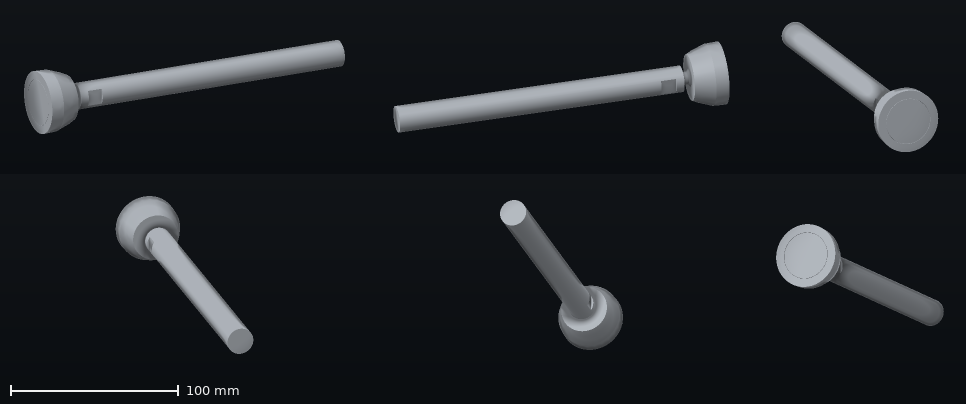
import cadquery as cq
import math

LENGTH = 200.0

FOOT_DIAMETER = 38.0
FOOT_SHOULDER_DIAMETER = 37.5
FOOT_TOP_DIAMETER = 28.0
FOOT_HEIGHT = 20.0
FOOT_SHOULDER_HEIGHT = 8.0
FOOT_LOWER_BULGE = 0.08
FOOT_UPPER_BULGE = 0.5
FOOT_RECESS_DIAMETER = 28.0

ROD_DIAMETER = 16.0
ROD_START = 24.8
NECK_DIAMETER = 7.8
STEM_DIAMETER = 10.8
FLARE_HEIGHT = 1.2
HEAD_DIAMETER = 27.5
HEAD_THICKNESS = 4.0

FLATS_START = 29.8
FLATS_LENGTH = 9.2
ACROSS_FLATS = 13.0


def revolve_about_y(profile):
    """Turn a closed half profile in the XY plane into a full solid."""
    return profile.close().revolve(360, (0, 0, 0), (0, 1, 0))


def bulged_midpoint(start, end, bulge):
    """Point at the middle of a chord, moved outward by the arc's bulge."""
    dx = end[0] - start[0]
    dy = end[1] - start[1]
    chord = math.hypot(dx, dy)
    middle_x = (start[0] + end[0]) / 2 + bulge * dy / chord
    middle_y = (start[1] + end[1]) / 2 - bulge * dx / chord
    return (middle_x, middle_y)


def make_foot():
    """Rounded foot with a recess for the spindle head and a bore for its stem."""
    rim = (FOOT_DIAMETER / 2, 0)
    shoulder = (FOOT_SHOULDER_DIAMETER / 2, FOOT_SHOULDER_HEIGHT)
    top = (FOOT_TOP_DIAMETER / 2, FOOT_HEIGHT)
    return revolve_about_y(
        cq.Workplane("XY")
        .moveTo(FOOT_RECESS_DIAMETER / 2, 0)
        .lineTo(*rim)
        .threePointArc(bulged_midpoint(rim, shoulder, FOOT_LOWER_BULGE), shoulder)
        .threePointArc(bulged_midpoint(shoulder, top, FOOT_UPPER_BULGE), top)
        .lineTo(STEM_DIAMETER / 2, FOOT_HEIGHT)
        .lineTo(STEM_DIAMETER / 2, HEAD_THICKNESS)
        .lineTo(FOOT_RECESS_DIAMETER / 2, HEAD_THICKNESS)
    )


def make_wrench_flats():
    """Two blocks that cut the opposite flats into the rod."""
    flat_depth = (ROD_DIAMETER - ACROSS_FLATS) / 2
    block_offset = (ACROSS_FLATS + flat_depth) / 2
    return (
        cq.Workplane("XY")
        .pushPoints([(side * block_offset, FLATS_START + FLATS_LENGTH / 2) for side in (-1, 1)])
        .rect(flat_depth, FLATS_LENGTH)
        .extrude(ROD_DIAMETER / 2, both=True)
    )


def make_spindle():
    """Rod with a narrow neck, a flared stem and a flat head in the foot."""
    blank = revolve_about_y(
        cq.Workplane("XY")
        .moveTo(0, 0)
        .lineTo(HEAD_DIAMETER / 2, 0)
        .lineTo(HEAD_DIAMETER / 2, HEAD_THICKNESS)
        .lineTo(STEM_DIAMETER / 2, HEAD_THICKNESS)
        .lineTo(STEM_DIAMETER / 2, FOOT_HEIGHT)
        .lineTo(NECK_DIAMETER / 2, FOOT_HEIGHT + FLARE_HEIGHT)
        .lineTo(NECK_DIAMETER / 2, ROD_START)
        .lineTo(ROD_DIAMETER / 2, ROD_START)
        .lineTo(ROD_DIAMETER / 2, LENGTH)
        .lineTo(0, LENGTH)
    )
    return blank.cut(make_wrench_flats())


foot = make_foot()
spindle = make_spindle()
result = cq.Compound.makeCompound([foot.val(), spindle.val()])